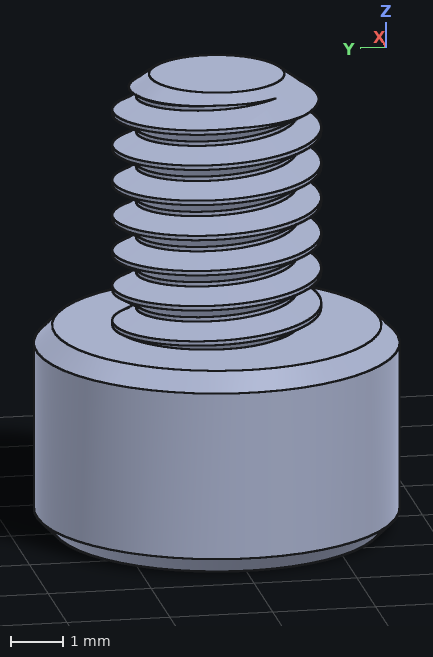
import cadquery as cq
import math

total_height = 9.0
head_diameter = 7.0
head_height = total_height * 4 / 9
head_chamfer = 0.35

major_radius = head_height / 2
pitch = 0.7
flat_width = pitch / 8
half_flank_angle = math.radians(30)
thread_depth = (pitch / 2 - flat_width) / math.tan(half_flank_angle)
root_radius = major_radius - thread_depth
crest_height = 4.59

tip_radius = 1.3
tip_chamfer_height = 0.51

cutter_reach = 0.04


def make_head():
    head = cq.Workplane("XY").circle(head_diameter / 2).extrude(head_height)
    return head.edges("%CIRCLE").chamfer(head_chamfer)


def make_shank_blank():
    """Plain shank, from the head up to its conical tip."""
    outline = cq.Workplane("XZ").polyline([
        (0, head_height),
        (major_radius, head_height),
        (major_radius, total_height - tip_chamfer_height),
        (tip_radius, total_height),
        (0, total_height),
    ]).close()
    return outline.revolve(360, (0, 0, 0), (0, 1, 0))


def make_thread_groove():
    """Right-handed helical groove running from inside the head to beyond the tip."""
    start = crest_height - 2.5 * pitch
    turns = math.ceil((total_height - start) / pitch) + 1
    helix = cq.Wire.makeHelix(pitch, turns * pitch, root_radius, cq.Vector(0, 0, start))
    outer_radius = major_radius + cutter_reach
    half_root = flat_width / 2
    half_mouth = half_root + (outer_radius - root_radius) * math.tan(half_flank_angle)
    profile = cq.Workplane("XZ").polyline([
        (root_radius, start - half_root),
        (outer_radius, start - half_mouth),
        (outer_radius, start + half_mouth),
        (root_radius, start + half_root),
    ]).close()
    return profile.sweep(cq.Workplane(obj=helix), isFrenet=True)


shank = make_shank_blank().cut(make_thread_groove())
result = make_head().union(shank)